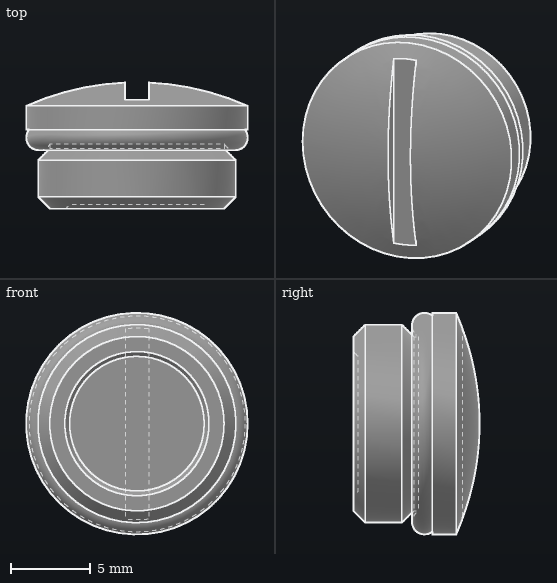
import cadquery as cq
import math

flange_diameter = 14.0
flange_thickness = 1.5
flange_front = 5.0
dome_height = 1.5
body_diameter = 12.5
front_face_diameter = 11.0
body_back = 3.07
neck_diameter = 11.0
ring_section_diameter = 1.6
ring_center = 4.5
recess_diameter = 9.1
recess_floor_diameter = 8.5
recess_depth = 0.3
slot_width = 1.5
slot_depth = 1.1

flange_radius = flange_diameter / 2
body_radius = body_diameter / 2
face_radius = front_face_diameter / 2
neck_radius = neck_diameter / 2
recess_radius = recess_diameter / 2
recess_floor_radius = recess_floor_diameter / 2
front_chamfer = body_radius - face_radius
ring_section_radius = ring_section_diameter / 2
ring_path_radius = flange_radius - ring_section_radius
neck_start = body_back + body_radius - neck_radius
dome_base = flange_front + flange_thickness
dome_top = dome_base + dome_height
dome_radius = (flange_radius**2 + dome_height**2) / (2 * dome_height)


def make_plug():
    """Revolve the recessed body, neck, sealing ring, flange and domed head."""
    ring_neck_offset = math.sqrt(ring_section_radius**2 - (ring_path_radius - neck_radius) ** 2)
    ring_flange_offset = math.sqrt(ring_section_radius**2 - (flange_front - ring_center) ** 2)
    mid_radius = flange_radius / 2
    dome_center = dome_top - dome_radius
    mid_height = dome_center + math.sqrt(dome_radius**2 - mid_radius**2)
    profile = (
        cq.Workplane("XY")
        .moveTo(0, recess_depth)
        .lineTo(recess_floor_radius, recess_depth)
        .lineTo(recess_radius, 0)
        .lineTo(face_radius, 0)
        .lineTo(body_radius, front_chamfer)
        .lineTo(body_radius, body_back)
        .lineTo(neck_radius, neck_start)
        .lineTo(neck_radius, ring_center - ring_neck_offset)
        .threePointArc(
            (flange_radius, ring_center),
            (ring_path_radius + ring_flange_offset, flange_front),
        )
        .lineTo(flange_radius, flange_front)
        .lineTo(flange_radius, dome_base)
        .threePointArc((mid_radius, mid_height), (0, dome_top))
        .close()
    )
    return profile.revolve(360, (0, 0, 0), (0, 1, 0))


def make_slot():
    """Screwdriver slot running along Z across the dome."""
    cutter = cq.Workplane("XY").box(slot_width, 2 * slot_depth, flange_diameter)
    return cutter.translate((0, dome_top, 0))


result = make_plug().cut(make_slot())